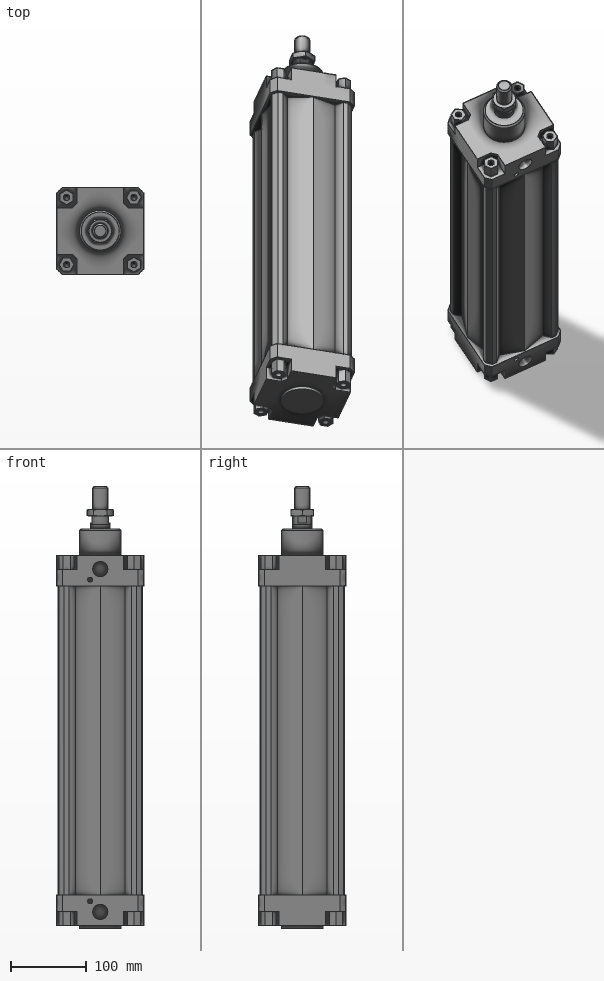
import cadquery as cq
import math

total_height = 583.0
end_boss_height = 4.0
cover_height = 40.0
upper_cover_top = 492.0
rod_boss_top = 527.0

cover_width = 115.0
cover_chamfer = 7.5
half_cover = cover_width / 2

pocket_size = 27.0
pocket_depth = 18.5
pocket_chamfer = 6.5
head_offset = 44.5
head_across_flats = 17.0
head_hole_diameter = 8.0
head_hole_depth = 11.5
drill_half_angle = 59.0

port_diameter = 20.0
port_depth = 20.5
port_from_outer_face = 18.0
screw_hole_diameter = 6.5
screw_hole_depth = 17.5
screw_hole_x = -13.5
screw_hole_from_outer_face = 32.0

barrel_ridge = 55.5
pad_face = 54.0
pad_inner = 41.5
pad_outer = 48.0
groove_corner = 32.5

boss_diameter = 55.0
boss_chamfer = 2.5

collar_diameter = 26.0
collar_height = 6.0
neck_diameter = 25.0
neck_height = 11.0
flats_width = 22.0
flats_height = 9.5
thread_diameter = 20.0
thread_chamfer = 2.5

nut_across_flats = 30.0
nut_height = 9.0
nut_chamfer_angle = 20.0

lower_cover_top = end_boss_height + cover_height
upper_cover_bottom = upper_cover_top - cover_height
barrel_length = upper_cover_bottom - lower_cover_top
collar_top = rod_boss_top + collar_height
neck_top = collar_top + neck_height


def cylinder(diameter, bottom, height):
    return cq.Workplane("XY").workplane(offset=bottom).circle(diameter / 2).extrude(height)


def hexagon(across_flats, bottom, height):
    """Hexagonal prism with two corners on the X axis."""
    across_corners = across_flats / math.cos(math.pi / 6)
    return cq.Workplane("XY").workplane(offset=bottom).polygon(6, across_corners).extrude(height)


def side_hole(diameter, depth, x, z):
    """Cylinder reaching into the cover from its -Y face."""
    return (
        cq.Workplane("XZ", origin=(x, -half_cover, z))
        .circle(diameter / 2)
        .extrude(-depth)
    )


def corner_pocket():
    """Pocket in the +X +Y corner of a cover, open at its top."""
    inner = half_cover - pocket_size
    return (
        cq.Workplane("XY")
        .workplane(offset=cover_height - pocket_depth)
        .moveTo(inner + pocket_chamfer, inner)
        .lineTo(half_cover, inner)
        .lineTo(half_cover, half_cover)
        .lineTo(inner, half_cover)
        .lineTo(inner, inner + pocket_chamfer)
        .close()
        .extrude(pocket_depth)
    )


def tie_rod_head():
    """Hexagonal head standing in the corner pocket, with a drilled hole in its end."""
    radius = head_hole_diameter / 2
    tip_depth = head_hole_depth + radius / math.tan(math.radians(drill_half_angle))
    drill = (
        cq.Workplane("XZ")
        .polyline([(0, 0), (radius, 0), (radius, -head_hole_depth), (0, -tip_depth)])
        .close()
        .revolve(360, (0, 0, 0), (0, 1, 0))
        .translate((0, 0, cover_height))
    )
    head = hexagon(head_across_flats, cover_height - pocket_depth, pocket_depth).cut(drill)
    return head.translate((head_offset, head_offset, 0))


def cover():
    """End cover standing on Z = 0 with its outer face up."""
    body = (
        cq.Workplane("XY")
        .rect(cover_width, cover_width)
        .extrude(cover_height)
        .edges("|Z")
        .chamfer(cover_chamfer)
    )
    for quarter in range(4):
        turn = quarter * 90
        body = body.cut(corner_pocket().rotate((0, 0, 0), (0, 0, 1), turn))
        body = body.union(tie_rod_head().rotate((0, 0, 0), (0, 0, 1), turn))
    return body


def cover_holes():
    """Port and cushion screw hole of a cover standing on Z = 0."""
    port = side_hole(port_diameter, port_depth, 0, cover_height - port_from_outer_face)
    screw_hole = side_hole(
        screw_hole_diameter,
        screw_hole_depth,
        screw_hole_x,
        cover_height - screw_hole_from_outer_face,
    )
    return port.union(screw_hole)


def barrel():
    """Profile barrel: a shallow ridge on each side, between 45 degree grooves and corner pads."""
    groove_face = pad_face - (pad_inner - groove_corner)
    side = [
        (pad_face, -pad_outer),
        (pad_face, -pad_inner),
        (groove_face, -groove_corner),
        (barrel_ridge, 0),
        (groove_face, groove_corner),
        (pad_face, pad_inner),
        (pad_face, pad_outer),
    ]
    outline = []
    for quarter in range(4):
        for x, y in side:
            for _ in range(quarter):
                x, y = -y, x
            outline.append((x, y))
    return (
        cq.Workplane("XY")
        .workplane(offset=lower_cover_top)
        .polyline(outline)
        .close()
        .extrude(barrel_length)
    )


def cylinder_housing():
    upper_cover = cover().cut(cover_holes()).translate((0, 0, upper_cover_bottom))
    lower_cover = (
        cover()
        .mirror("XY")
        .cut(cover_holes().mirror("XY"))
        .translate((0, 0, lower_cover_top))
    )
    rod_boss = (
        cylinder(boss_diameter, upper_cover_top, rod_boss_top - upper_cover_top)
        .faces(">Z")
        .edges()
        .chamfer(boss_chamfer)
    )
    end_boss = cylinder(boss_diameter, 0, end_boss_height)
    return barrel().union(upper_cover).union(lower_cover).union(rod_boss).union(end_boss)


def piston_rod():
    collar = cylinder(collar_diameter, rod_boss_top, collar_height)
    neck = cylinder(neck_diameter, collar_top, neck_height)
    wrench_flats = (
        cylinder(neck_diameter, neck_top - flats_height, flats_height)
        .cut(cq.Workplane("XY").rect(flats_width, neck_diameter).extrude(total_height))
    )
    thread = (
        cylinder(thread_diameter, neck_top, total_height - neck_top)
        .faces(">Z")
        .edges()
        .chamfer(thread_chamfer)
    )
    return collar.union(neck.cut(wrench_flats)).union(thread)


def lock_nut():
    """Hexagon nut whose corners are cut back by a cone at both ends."""
    inner_radius = nut_across_flats / 2
    corner_radius = inner_radius / math.cos(math.pi / 6)
    chamfer_drop = (corner_radius - inner_radius) * math.tan(math.radians(nut_chamfer_angle))
    chamfer_envelope = (
        cq.Workplane("XZ", origin=(0, 0, neck_top))
        .moveTo(0, 0)
        .lineTo(inner_radius, 0)
        .lineTo(corner_radius, chamfer_drop)
        .lineTo(corner_radius, nut_height - chamfer_drop)
        .lineTo(inner_radius, nut_height)
        .lineTo(0, nut_height)
        .close()
        .revolve(360, (0, 0, 0), (0, 1, 0))
    )
    bore = cylinder(thread_diameter, neck_top, nut_height)
    return hexagon(nut_across_flats, neck_top, nut_height).intersect(chamfer_envelope).cut(bore)


housing = cylinder_housing()
rod = piston_rod()
nut = lock_nut()

result = cq.Compound.makeCompound([housing.val(), rod.val(), nut.val()])